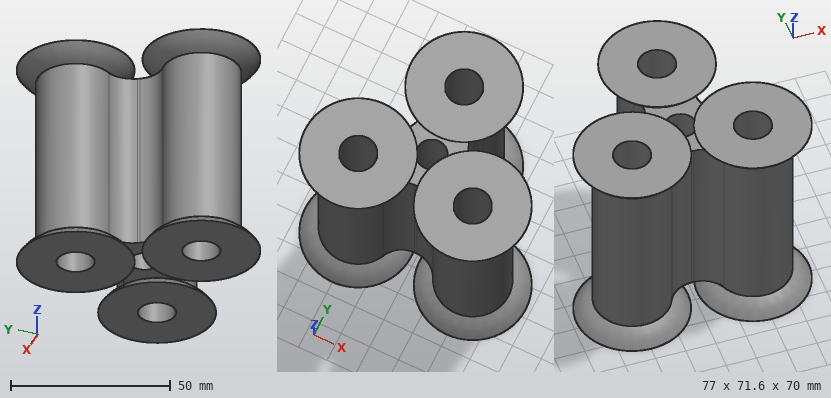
import cadquery as cq
import math

spacing = 39.95
flange_diameter = 37.0
barrel_diameter = 25.0
barrel_height = 60.0
flange_height = 5.0
flange_bulge = 0.6
bore_diameter = 12.0
core_hole_diameter = 10.0
fillet_radius = 9.0

flange_radius = flange_diameter / 2
barrel_radius = barrel_diameter / 2
half_barrel = barrel_height / 2
half_total = half_barrel + flange_height
axis_distance = spacing / math.sqrt(3)
web_face_distance = axis_distance / 2
spool_angles = (90, 210, 330)
axes = [
    (axis_distance * math.cos(math.radians(a)), axis_distance * math.sin(math.radians(a)))
    for a in spool_angles
]


def make_spool():
    """One barrel with a convex, flared flange at each end."""
    flank_run = flange_radius - barrel_radius
    flank_length = math.hypot(flank_run, flange_height)
    middle_radius = (flange_radius + barrel_radius) / 2 + flange_bulge * flange_height / flank_length
    middle_z = half_barrel + flange_height / 2 - flange_bulge * flank_run / flank_length
    return (
        cq.Workplane("XZ")
        .moveTo(0, -half_total)
        .lineTo(flange_radius, -half_total)
        .threePointArc((middle_radius, -middle_z), (barrel_radius, -half_barrel))
        .lineTo(barrel_radius, half_barrel)
        .threePointArc((middle_radius, middle_z), (flange_radius, half_total))
        .lineTo(0, half_total)
        .close()
        .revolve(360, (0, 0, 0), (0, 1, 0))
    )


def make_web_sector():
    """The third of the web facing -Y, blended into the two barrels beside it."""
    fillet_reach = math.sqrt((barrel_radius + fillet_radius) ** 2 - fillet_radius ** 2)
    fillet_x = spacing / 2 - fillet_reach
    fillet_y = -web_face_distance - fillet_radius
    tangent_angle = math.atan2(fillet_radius, fillet_reach)
    middle_angle = (tangent_angle + math.pi / 2) / 2

    def on_fillet(angle):
        return fillet_x + fillet_radius * math.cos(angle), fillet_y + fillet_radius * math.sin(angle)

    def mirrored(point):
        return -point[0], point[1]

    tangent = on_fillet(tangent_angle)
    middle = on_fillet(middle_angle)
    flat_end = on_fillet(math.pi / 2)
    return (
        cq.Workplane("XY", origin=(0, 0, -half_barrel))
        .moveTo(0, 0)
        .lineTo(-spacing / 2, -web_face_distance)
        .lineTo(*mirrored(tangent))
        .threePointArc(mirrored(middle), mirrored(flat_end))
        .lineTo(*flat_end)
        .threePointArc(middle, tangent)
        .lineTo(spacing / 2, -web_face_distance)
        .close()
        .extrude(barrel_height)
    )


sector = make_web_sector()
body = sector
for turn in (120, 240):
    body = body.union(sector.rotate((0, 0, 0), (0, 0, 1), turn))

core_hole = (
    cq.Workplane("XY", origin=(0, 0, -half_barrel))
    .circle(core_hole_diameter / 2)
    .extrude(barrel_height)
)
body = body.cut(core_hole)

spool = make_spool()
for x, y in axes:
    body = body.union(spool.translate((x, y, 0)))

bores = (
    cq.Workplane("XY", origin=(0, 0, -half_total))
    .pushPoints(axes)
    .circle(bore_diameter / 2)
    .extrude(2 * half_total)
)
result = body.cut(bores)